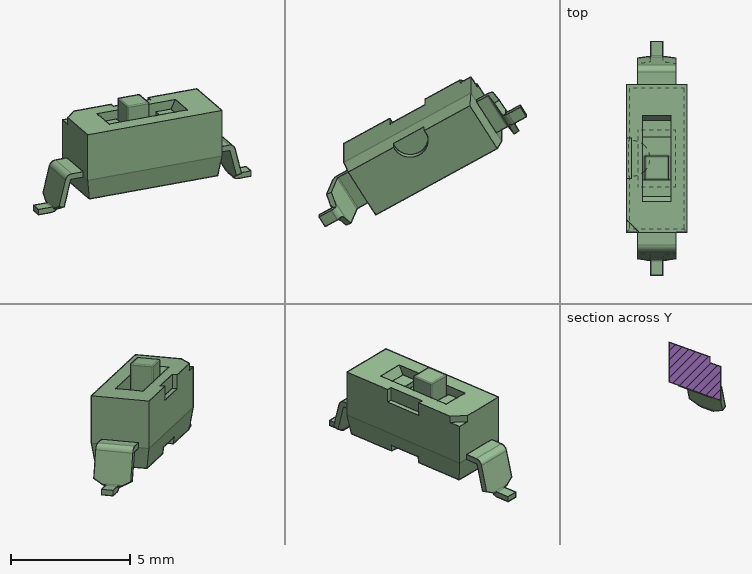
import cadquery as cq
import math

TOTAL_LENGTH = 9.8
TOTAL_HEIGHT = 4.32

BODY_WIDTH = 2.54
BODY_LENGTH = 6.19
BODY_BOTTOM = 0.72
BODY_TOP = 3.72
PARTING_Z = 1.65
TAPER_INSET = 0.14

SLOT_WIDTH = 1.21
SLOT_LENGTH = 3.61
SLOT_DEPTH = 0.4
SLOT_END_RUN = 0.21

OPENING_LENGTH = 1.8
LEDGE_THICKNESS = 0.23

SIDE_NOTCH_LENGTH = 1.71
SIDE_NOTCH_HEIGHT = 0.61
SIDE_NOTCH_DEPTH = 0.22
CORNER_LEG = 0.53
CORNER_DEPTH = 0.3
BOTTOM_NOTCH_DIAMETER = 1.5
BOTTOM_NOTCH_HEIGHT = 0.3
BOTTOM_NOTCH_X = -1.04

POST_SIZE = 1.0
POST_ROUND = 0.05
POST_FOOT_FILLET = 0.05
PLATE_WIDTH = 1.57
PLATE_MARGIN = 0.29
PLATE_THICKNESS = 0.2

TERMINAL_WIDTH = 1.63
TERMINAL_THICKNESS = 0.245
TERMINAL_TOP = 1.86
SHOULDER_LENGTH = 0.53
BEND_OUTER_RADIUS = 0.6 / 2
LEG_LEAN = 14.0
FOOT_WIDTH = 0.51
TAPER_ANGLE = 29.0
TAPER_START_Z = 0.47

LEDGE_Z = BODY_TOP - SLOT_DEPTH
PLATE_TOP = LEDGE_Z - LEDGE_THICKNESS
PLATE_LENGTH = OPENING_LENGTH + 2 * PLATE_MARGIN
POST_Y = (POST_SIZE - OPENING_LENGTH) / 2

LEAN = math.radians(LEG_LEAN)
MID_BEND = (90 + LEG_LEAN) / 2
BEND_INNER_RADIUS = BEND_OUTER_RADIUS - TERMINAL_THICKNESS
TERMINAL_START_Y = BODY_LENGTH / 2
FOOT_END_Y = TOTAL_LENGTH / 2
SHOULDER_BEND = (TERMINAL_START_Y + SHOULDER_LENGTH, TERMINAL_TOP - BEND_OUTER_RADIUS)
LEG_DROP = SHOULDER_BEND[1] - BEND_OUTER_RADIUS
LEG_RUN = (BEND_OUTER_RADIUS + BEND_INNER_RADIUS) / math.cos(LEAN) + LEG_DROP * math.tan(LEAN)
FOOT_BEND = (SHOULDER_BEND[0] + LEG_RUN, BEND_OUTER_RADIUS)


def block(size_x, size_y, z_bottom, z_top, x=0.0, y=0.0):
    """A box centred on (x, y) between two heights."""
    box = cq.Workplane("XY").box(size_x, size_y, z_top - z_bottom, centered=(True, True, False))
    return box.translate((x, y, z_bottom))


def make_slider():
    """Rounded square post that flares into a plate held under the ledge."""
    plate = block(PLATE_WIDTH, PLATE_LENGTH, PLATE_TOP - PLATE_THICKNESS, PLATE_TOP)
    post = block(POST_SIZE, POST_SIZE, PLATE_TOP, TOTAL_HEIGHT, y=POST_Y)
    post = post.edges("|Z or >Z").fillet(POST_ROUND)
    flare_reach = POST_SIZE + 2 * POST_FOOT_FILLET
    post_foot = cq.selectors.BoxSelector(
        (-flare_reach / 2, POST_Y - flare_reach / 2, PLATE_TOP - POST_FOOT_FILLET),
        (flare_reach / 2, POST_Y + flare_reach / 2, PLATE_TOP + POST_FOOT_FILLET),
    )
    return plate.union(post).edges(post_foot).fillet(POST_FOOT_FILLET)


def housing_shell():
    """Straight upper part over a lower part that tapers in on all four sides."""
    upper = block(BODY_WIDTH, BODY_LENGTH, PARTING_Z, BODY_TOP)
    lower = (
        cq.Workplane("XY", origin=(0, 0, PARTING_Z))
        .rect(BODY_WIDTH, BODY_LENGTH)
        .workplane(offset=BODY_BOTTOM - PARTING_Z)
        .rect(BODY_WIDTH - 2 * TAPER_INSET, BODY_LENGTH - 2 * TAPER_INSET)
        .loft(combine=True)
    )
    return upper.union(lower)


def slot_cutter():
    """Slot down to the ledge; its end walls slope inwards."""
    half_top = SLOT_LENGTH / 2
    half_bottom = half_top - SLOT_END_RUN
    outline = [(-half_top, BODY_TOP), (half_top, BODY_TOP), (half_bottom, LEDGE_Z), (-half_bottom, LEDGE_Z)]
    return cq.Workplane("YZ").polyline(outline).close().extrude(SLOT_WIDTH / 2, both=True)


def side_notch_cutter():
    """Pocket in the -X side, open to the top face."""
    return block(
        2 * SIDE_NOTCH_DEPTH, SIDE_NOTCH_LENGTH, BODY_TOP - SIDE_NOTCH_HEIGHT, BODY_TOP, x=-BODY_WIDTH / 2
    )


def corner_cutter():
    """Triangular step that marks the -X, -Y corner of the top face."""
    x = -BODY_WIDTH / 2
    y = -BODY_LENGTH / 2
    return (
        cq.Workplane("XY", origin=(0, 0, BODY_TOP - CORNER_DEPTH))
        .polyline([(x, y), (x + CORNER_LEG, y), (x, y + CORNER_LEG)])
        .close()
        .extrude(CORNER_DEPTH)
    )


def bottom_notch_cutter():
    """Round-walled notch in the bottom edge of the -X side."""
    return (
        cq.Workplane("XY", origin=(BOTTOM_NOTCH_X, 0, BODY_BOTTOM))
        .circle(BOTTOM_NOTCH_DIAMETER / 2)
        .extrude(BOTTOM_NOTCH_HEIGHT)
    )


def make_housing(slider):
    """Housing whose cavity under the ledge matches the slider."""
    opening = block(SLOT_WIDTH, OPENING_LENGTH, PLATE_TOP, LEDGE_Z)
    return (
        housing_shell()
        .cut(slot_cutter())
        .cut(opening)
        .cut(slider)
        .cut(side_notch_cutter())
        .cut(corner_cutter())
        .cut(bottom_notch_cutter())
    )


def around(center, radius, angle):
    """Point at an angle in degrees on a circle in the YZ plane."""
    turn = math.radians(angle)
    return (center[0] + radius * math.cos(turn), center[1] + radius * math.sin(turn))


def terminal_strip():
    """Gull-wing strip at full width, leaving the +Y end of the housing."""
    outer = BEND_OUTER_RADIUS
    inner = BEND_INNER_RADIUS
    return (
        cq.Workplane("YZ")
        .moveTo(TERMINAL_START_Y, TERMINAL_TOP)
        .lineTo(*around(SHOULDER_BEND, outer, 90))
        .threePointArc(around(SHOULDER_BEND, outer, MID_BEND), around(SHOULDER_BEND, outer, LEG_LEAN))
        .lineTo(*around(FOOT_BEND, inner, 180 + LEG_LEAN))
        .threePointArc(around(FOOT_BEND, inner, 180 + MID_BEND), around(FOOT_BEND, inner, 270))
        .lineTo(FOOT_END_Y, TERMINAL_THICKNESS)
        .lineTo(FOOT_END_Y, 0)
        .lineTo(*around(FOOT_BEND, outer, 270))
        .threePointArc(around(FOOT_BEND, outer, 180 + MID_BEND), around(FOOT_BEND, outer, 180 + LEG_LEAN))
        .lineTo(*around(SHOULDER_BEND, inner, LEG_LEAN))
        .threePointArc(around(SHOULDER_BEND, inner, MID_BEND), around(SHOULDER_BEND, inner, 90))
        .lineTo(TERMINAL_START_Y, TERMINAL_TOP - TERMINAL_THICKNESS)
        .close()
        .extrude(TERMINAL_WIDTH / 2, both=True)
    )


def leg_taper_cutter():
    """Waste beside the lower end of the leg on the +X side, cut square to the leg."""
    leg_face_y, leg_face_z = around(SHOULDER_BEND, BEND_OUTER_RADIUS, LEG_LEAN)
    start_y = leg_face_y + (leg_face_z - TAPER_START_Z) * math.tan(LEAN)
    leg_face = cq.Plane(
        origin=(0, start_y, TAPER_START_Z), xDir=(1, 0, 0), normal=(0, math.cos(LEAN), math.sin(LEAN))
    )
    half_width = TERMINAL_WIDTH / 2
    half_foot = FOOT_WIDTH / 2
    taper_length = (half_width - half_foot) * math.tan(math.radians(TAPER_ANGLE))
    reach = TERMINAL_WIDTH
    outline = [(half_width, 0), (half_foot, taper_length), (half_foot, reach), (half_width, reach)]
    return cq.Workplane(leg_face).polyline(outline).close().extrude(reach, both=True)


def foot_side_cutter():
    """Waste beside the foot on the +X side, from the mitre of the foot bend to the tip."""
    reach = 2 * BEND_OUTER_RADIUS
    above_mitre = around(FOOT_BEND, reach, MID_BEND)
    below_mitre = around(FOOT_BEND, reach, 180 + MID_BEND)
    outline = [below_mitre, above_mitre, (FOOT_END_Y, above_mitre[1]), (FOOT_END_Y, below_mitre[1])]
    return (
        cq.Workplane("YZ", origin=(FOOT_WIDTH / 2, 0, 0))
        .polyline(outline)
        .close()
        .extrude((TERMINAL_WIDTH - FOOT_WIDTH) / 2)
    )


def make_terminal(turn):
    """Terminal turned about Z to its end of the housing."""
    terminal = terminal_strip()
    for cutter in (leg_taper_cutter(), foot_side_cutter()):
        terminal = terminal.cut(cutter).cut(cutter.mirror("YZ"))
    return terminal.rotate((0, 0, 0), (0, 0, 1), turn)


slider = make_slider()
housing = make_housing(slider)
terminals = [make_terminal(turn) for turn in (0, 180)]

result = cq.Compound.makeCompound([housing.val(), slider.val(), *[terminal.val() for terminal in terminals]])